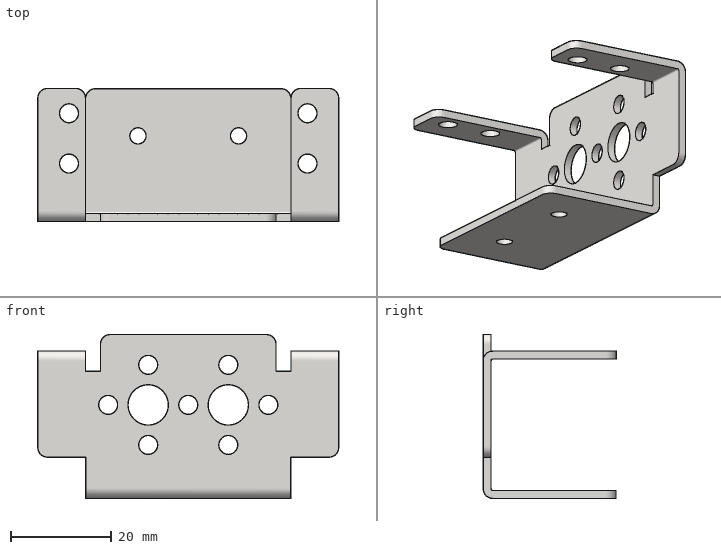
import cadquery as cq

thickness = 1.6
bend_radius = 2.0
inner_bend_radius = bend_radius - thickness
corner_radius = 2.0

width = 60.0
depth = 26.6
height = 32.7

base_width = 40.9
tab_width = 35.05
wing_bottom = 8.2
wing_top = 29.4
notch_bottom = 25.4
wing_width = (width - base_width) / 2
wing_center = (width + base_width) / 4

base_depth = 26.5

motor_hole_diameter = 8.0
screw_hole_diameter = 3.7
base_hole_diameter = 3.2
hole_pitch = 8.0
pattern_height = 18.65
wing_hole_x = 23.75
wing_hole_depths = (11.6, 21.6)
base_hole_x = 10.0
base_hole_depth = 17.1


def box(x_size, y_range, z_range, x_center=0):
    """Block centred on x_center, spanning the given Y and Z ranges."""
    return (
        cq.Workplane("XY")
        .box(x_size, y_range[1] - y_range[0], z_range[1] - z_range[0], centered=(True, False, False))
        .translate((x_center, y_range[0], z_range[0]))
    )


def angle(x_size, x_center, length, leg_height):
    """Bent strip: a floor of the given length and an upright leg, rounded at the bend."""
    outer = box(x_size, (0, length), (0, leg_height), x_center)
    outer = outer.edges("|X and <Y and <Z").fillet(bend_radius)
    inner = box(x_size, (thickness, length), (thickness, leg_height), x_center)
    inner = inner.edges("|X and <Y and <Z").fillet(inner_bend_radius)
    return outer.cut(inner)


def round_free_end(strip):
    """Round the two corners at the rear end of a flange."""
    return strip.edges("|Z and >Y").fillet(corner_radius)


def base_angle():
    return round_free_end(angle(base_width, 0, base_depth, notch_bottom))


def wing_angle(side):
    """Side wing with its flange folded back along the top."""
    strip = round_free_end(angle(wing_width, side * wing_center, depth, wing_top - wing_bottom))
    strip = strip.mirror("XY").translate((0, 0, wing_top))
    outer_corner = ">X" if side > 0 else "<X"
    return strip.edges("|Y and <Z").edges(outer_corner).fillet(corner_radius)


def top_tab():
    tab = box(tab_width, (0, thickness), (wing_bottom, height))
    return tab.edges("|Y and >Z").fillet(corner_radius)


def front_holes(diameter, points):
    return (
        cq.Workplane("XZ")
        .pushPoints([(x, pattern_height + dz) for x, dz in points])
        .circle(diameter / 2)
        .extrude(-thickness)
    )


def flange_holes(diameter, points, bottom):
    return cq.Workplane("XY").workplane(offset=bottom).pushPoints(points).circle(diameter / 2).extrude(thickness)


result = base_angle().union(top_tab())
for side in (-1, 1):
    result = result.union(wing_angle(side))

screw_points = [(x * hole_pitch, 0) for x in (-2, 0, 2)]
screw_points += [(x * hole_pitch, z * hole_pitch) for x in (-1, 1) for z in (-1, 1)]
result = result.cut(front_holes(screw_hole_diameter, screw_points))
result = result.cut(front_holes(motor_hole_diameter, [(-hole_pitch, 0), (hole_pitch, 0)]))

wing_points = [(side * wing_hole_x, y) for side in (-1, 1) for y in wing_hole_depths]
result = result.cut(flange_holes(screw_hole_diameter, wing_points, wing_top - thickness))
base_points = [(side * base_hole_x, base_hole_depth) for side in (-1, 1)]
result = result.cut(flange_holes(base_hole_diameter, base_points, 0))